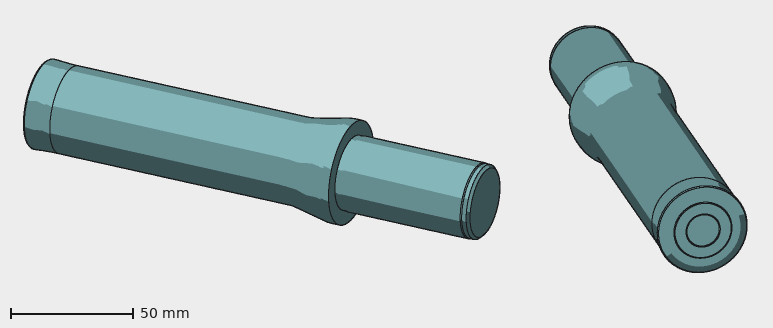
import cadquery as cq

length = 201.0
head_end = 12.9
collar_cone_start = 118.8
collar_band_start = 135.9
collar_end = 140.5

head_front_dia = 38.0
face_crown_dia = 32.0
face_crown_x = 0.5
face_edge_x = 1.0
head_rim_x = 1.6
head_land_x = 9.8

boss_dia = 24.5
boss_crown_dia = 18.0
boss_edge_x = 0.1
recess_dia = 14.5
recess_depth = 0.2
recess_apex_x = 0.5
wall_taper = 0.5

bar_dia = 37.0
collar_dia = 44.0
collar_blend_radius = 10.0
shank_dia = 32.0
relief_dia = 31.5
relief_end_x = 142.3
shank_start_x = 143.1
shank_stop_x = 197.2
tip_start_x = 197.8
tip_chamfer = 1.2


def revolve_about_x(profile):
    """Turn a closed X-radius profile about the X axis."""
    return profile.revolve(360, (0, 0, 0), (1, 0, 0))


def make_head():
    """Disc-like head with a tapering rim and a shallow boss on its front face."""
    profile = (
        cq.Workplane("XY")
        .moveTo(recess_apex_x, 0)
        .lineTo(recess_depth, recess_dia / 2 - wall_taper)
        .lineTo(0, recess_dia / 2)
        .lineTo(0, boss_crown_dia / 2)
        .lineTo(boss_edge_x, boss_dia / 2 - wall_taper)
        .lineTo(face_crown_x, boss_dia / 2)
        .lineTo(face_crown_x, face_crown_dia / 2)
        .lineTo(face_edge_x, head_front_dia / 2 - wall_taper)
        .lineTo(head_rim_x, head_front_dia / 2)
        .lineTo(head_land_x, bar_dia / 2)
        .lineTo(head_end, bar_dia / 2)
        .lineTo(head_end, 0)
        .close()
    )
    return revolve_about_x(profile)


def make_holder():
    """Bar, flared collar and relieved shank turned as one piece."""
    profile = (
        cq.Workplane("XY")
        .moveTo(head_end, 0)
        .lineTo(head_end, bar_dia / 2)
        .lineTo(collar_cone_start, bar_dia / 2)
        .lineTo(collar_band_start, collar_dia / 2)
        .lineTo(collar_end, collar_dia / 2)
        .lineTo(collar_end, relief_dia / 2)
        .lineTo(relief_end_x, relief_dia / 2)
        .lineTo(shank_start_x, shank_dia / 2)
        .lineTo(shank_stop_x, shank_dia / 2)
        .lineTo(tip_start_x, relief_dia / 2)
        .lineTo(length - tip_chamfer, relief_dia / 2)
        .lineTo(length, relief_dia / 2 - tip_chamfer)
        .lineTo(length, 0)
        .close()
    )
    holder = revolve_about_x(profile)

    pick_margin = 0.2
    for edge_x in (collar_cone_start, collar_band_start):
        flare_edge = cq.selectors.BoxSelector(
            (edge_x - pick_margin, -collar_dia, -collar_dia),
            (edge_x + pick_margin, collar_dia, collar_dia),
        )
        holder = holder.edges(flare_edge).fillet(collar_blend_radius)
    return holder


head = make_head()
holder = make_holder()
result = cq.Compound.makeCompound([head.val(), holder.val()])